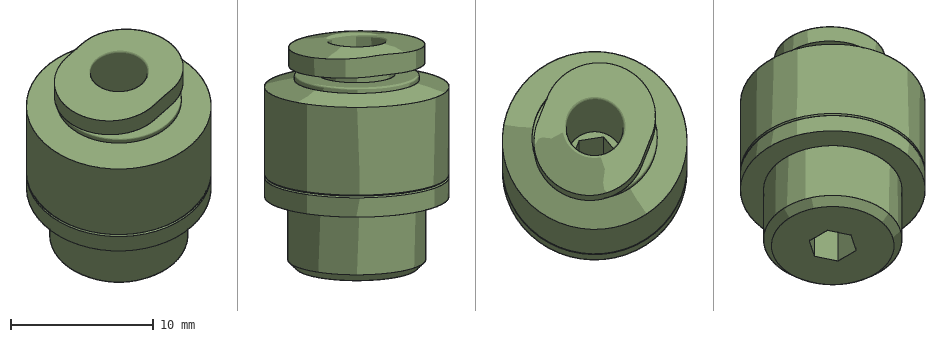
import cadquery as cq

total_height = 16.39
collar_bottom = 5.1
groove_bottom = 6.49
groove_top = 6.69
body_top = 13.01
ring_bottom = 13.54
ring_top = 13.92
head_bottom = 14.64
head_cone_bottom = 15.95

body_diameter = 13.0
pin_diameter = 9.74
ring_diameter = 8.8
neck_diameter = 5.4
bore_diameter = 4.0

head_length = 9.82
head_width = 7.85

pin_chamfer = 0.55
groove_depth = 0.1
ring_fillet = 0.15
neck_fillet = 0.4
bore_fillet = 0.25
bore_depth = 8.2
hex_across_flats = 3.0


def revolve_profile(profile):
    """Revolve a closed XZ half-section about the Z axis."""
    return profile.close().revolve(360, (0, 0, 0), (0, 1, 0))


def make_body():
    """Pin, grooved body, conical shoulder, ring and neck flaring into the head."""
    body_radius = body_diameter / 2
    pin_radius = pin_diameter / 2
    ring_radius = ring_diameter / 2
    neck_radius = neck_diameter / 2
    groove_middle = (groove_bottom + groove_top) / 2
    profile = (
        cq.Workplane("XZ")
        .lineTo(pin_radius - pin_chamfer, 0)
        .lineTo(pin_radius, pin_chamfer)
        .lineTo(pin_radius, collar_bottom)
        .lineTo(body_radius, collar_bottom)
        .lineTo(body_radius, groove_bottom)
        .lineTo(body_radius - groove_depth, groove_middle)
        .lineTo(body_radius, groove_top)
        .lineTo(body_radius, body_top)
        .lineTo(ring_radius, ring_bottom)
        .lineTo(ring_radius, ring_top - ring_fillet)
        .radiusArc((ring_radius - ring_fillet, ring_top), -ring_fillet)
        .lineTo(neck_radius, ring_top)
        .lineTo(neck_radius, head_bottom - neck_fillet)
        .radiusArc((neck_radius + neck_fillet, head_bottom), neck_fillet)
        .lineTo(0, head_bottom)
    )
    return revolve_profile(profile)


def make_head():
    """Oblong head, long along Y, with a shallow conical top."""
    head_radius = head_length / 2
    flat_top_radius = bore_diameter / 2 + bore_fillet
    oblong = (
        cq.Workplane("XY")
        .workplane(offset=head_bottom)
        .slot2D(head_length, head_width, 90)
        .extrude(total_height - head_bottom)
    )
    cone_envelope = revolve_profile(
        cq.Workplane("XZ")
        .moveTo(0, head_bottom)
        .lineTo(head_radius, head_bottom)
        .lineTo(head_radius, head_cone_bottom)
        .lineTo(flat_top_radius, total_height)
        .lineTo(0, total_height)
    )
    return oblong.intersect(cone_envelope)


def make_bore():
    """Blind round bore that widens to a rounded mouth at the top."""
    bore_radius = bore_diameter / 2
    mouth_radius = bore_radius + bore_fillet
    bore_floor = total_height - bore_depth
    return revolve_profile(
        cq.Workplane("XZ")
        .moveTo(0, bore_floor)
        .lineTo(bore_radius, bore_floor)
        .lineTo(bore_radius, total_height - bore_fillet)
        .radiusArc((mouth_radius, total_height), bore_fillet)
        .lineTo(0, total_height)
    )


def make_hex_socket():
    """Hexagonal passage through the whole part, with corners toward +Y and -Y."""
    return (
        cq.Workplane("XY")
        .polygon(6, hex_across_flats, circumscribed=True)
        .extrude(total_height)
    )


result = make_body().union(make_head()).cut(make_bore()).cut(make_hex_socket())